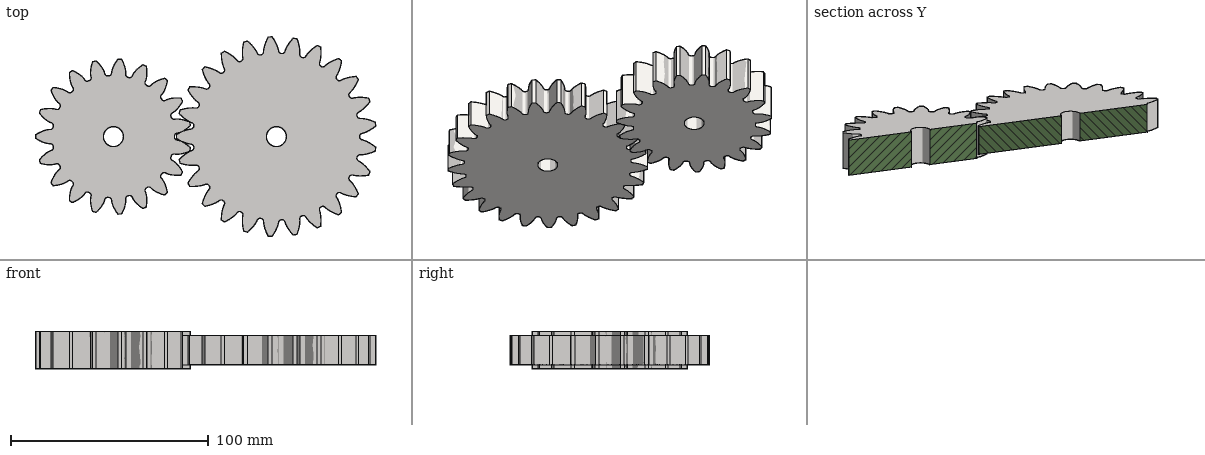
import cadquery as cq
import math

module = 3.75
pressure_angle = math.radians(25)
pinion_teeth = 19
wheel_teeth = 25
pinion_width = 19.0
wheel_width = 15.0
bore_diameter = 10.0

addendum = module
dedendum = 1.25 * module
root_fillet = 0.38 * module
flank_points = 8

center_distance = module * (pinion_teeth + wheel_teeth) / 2


def involute(angle):
    """Involute function of a pressure angle."""
    return math.tan(angle) - angle


def polar(radius, angle):
    """X and Y of a point given by its distance from the origin and its direction."""
    return (radius * math.cos(angle), radius * math.sin(angle))


def spur_gear(teeth, width, first_tooth_angle):
    """Spur gear on the Z axis, centred on the XY plane, with one tooth centred on first_tooth_angle."""
    pitch_radius = module * teeth / 2
    base_radius = pitch_radius * math.cos(pressure_angle)
    tip_radius = pitch_radius + addendum
    root_radius = pitch_radius - dedendum
    tooth_pitch = 2 * math.pi / teeth

    base_half_angle = tooth_pitch / 4 + involute(pressure_angle)

    fillet_center_radius = root_radius + root_fillet
    fillet_center_angle = (
        base_half_angle + root_fillet / base_radius - involute(math.acos(base_radius / fillet_center_radius))
    )
    fillet_center = polar(fillet_center_radius, fillet_center_angle)

    start_roll = (math.sqrt(fillet_center_radius**2 - base_radius**2) - root_fillet) / base_radius
    end_roll = math.sqrt(tip_radius**2 - base_radius**2) / base_radius
    flank = []
    for index in range(flank_points):
        roll = start_roll + (end_roll - start_roll) * index / (flank_points - 1)
        radius = base_radius * math.hypot(1, roll)
        flank.append((radius, base_half_angle - roll + math.atan(roll)))

    start_direction = base_half_angle - start_roll
    end_direction = base_half_angle - end_roll

    root_side = fillet_center_angle - math.pi
    flank_side = start_direction - math.pi / 2
    middle_side = (root_side + flank_side) / 2
    fillet_middle_x = fillet_center[0] + root_fillet * math.cos(middle_side)
    fillet_middle_y = fillet_center[1] + root_fillet * math.sin(middle_side)
    fillet_middle_radius = math.hypot(fillet_middle_x, fillet_middle_y)
    fillet_middle_angle = math.atan2(fillet_middle_y, fillet_middle_x)

    outline = cq.Workplane("XY").moveTo(*polar(root_radius, first_tooth_angle - fillet_center_angle))
    for tooth in range(teeth):
        middle = first_tooth_angle + tooth * tooth_pitch
        rising_tangents = [polar(1, middle - start_direction), polar(1, middle - end_direction)]
        falling_tangents = [polar(-1, middle + end_direction), polar(-1, middle + start_direction)]
        rising_flank = [polar(radius, middle - angle) for radius, angle in flank[1:]]
        falling_flank = [polar(radius, middle + angle) for radius, angle in reversed(flank[:-1])]
        outline = (
            outline
            .threePointArc(
                polar(fillet_middle_radius, middle - fillet_middle_angle),
                polar(flank[0][0], middle - flank[0][1]),
            )
            .spline(rising_flank, tangents=rising_tangents, includeCurrent=True)
            .threePointArc(polar(tip_radius, middle), polar(tip_radius, middle + flank[-1][1]))
            .spline(falling_flank, tangents=falling_tangents, includeCurrent=True)
            .threePointArc(
                polar(fillet_middle_radius, middle + fillet_middle_angle),
                polar(root_radius, middle + fillet_center_angle),
            )
            .threePointArc(
                polar(root_radius, middle + tooth_pitch / 2),
                polar(root_radius, middle + tooth_pitch - fillet_center_angle),
            )
        )
    blank = outline.close().extrude(width)
    bore = cq.Workplane("XY").circle(bore_diameter / 2).extrude(width)
    return blank.cut(bore).translate((0, 0, -width / 2))


pinion = spur_gear(pinion_teeth, pinion_width, math.pi)
wheel = spur_gear(wheel_teeth, wheel_width, math.pi).translate((center_distance, 0, 0))

result = cq.Compound.makeCompound([pinion.val(), wheel.val()])